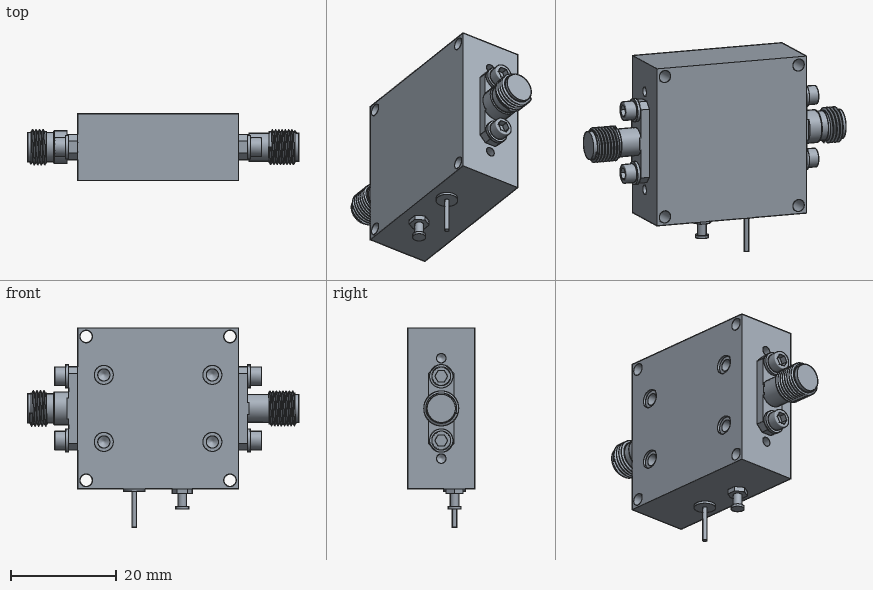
import cadquery as cq
import math

TOTAL_LENGTH = 51.35
TOTAL_HEIGHT = 37.75

SIDE = 30.45
DEPTH = 12.7
HALF_SIDE = SIDE / 2
FRONT_Y = -DEPTH / 2

CORNER_HOLE_DIA = 2.3
CORNER_HOLE_PITCH = 27.2

DRILL_TIP_ANGLE = 118
MOUNT_HOLE_DIA = 2.3
MOUNT_HOLE_DEPTH = 6.15
MOUNT_BORE_DIA = 3.6
MOUNT_BORE_DEPTH = 0.5
MOUNT_PITCH_X = 20.55
MOUNT_PITCH_Z = 12.7

SIDE_HOLE_DIA = 1.8
SIDE_HOLE_DEPTH = 4.1
SIDE_HOLE_PITCH = 19.0

FLANGE_THICK = 1.7
FLANGE_WIDTH = 4.8
FLANGE_HEIGHT = 15.75
FLANGE_CORNER = 1.3
FLANGE_FACE = HALF_SIDE + FLANGE_THICK
BARREL_FLAT_LENGTH = 0.3

SCREW_PITCH = 12.15
WASHER_DIA = 4.4
WASHER_THICK = 0.55
HEAD_DIA = 3.6
HEAD_LENGTH = 2.1
HEAD_ROUND = 0.15
SOCKET_FLATS = 2.1
SOCKET_DEPTH = 1.3

LEFT_REACH = 24.7
LEFT_CORE_DIA = 5.6
LEFT_COLLAR_DIA = 6.25
LEFT_COLLAR_LENGTH = 2.9
LEFT_COLLAR_CHAMFER = 0.2
LEFT_THREAD_DIA = 6.8
LEFT_THREAD_PITCH = 0.65
LEFT_THREAD_TURNS = 4.2
LEFT_THREAD_START = 21.25

RIGHT_REACH = TOTAL_LENGTH - LEFT_REACH
RIGHT_CORE_DIA = 5.35
RIGHT_THREAD_DIA = 6.6
RIGHT_THREAD_PITCH = 0.6
RIGHT_THREAD_TURNS = 7.7
RIGHT_THREAD_START = 21.15

THREAD_ROOT_DIA = 5.85
RIDGE_BASE_RATIO = 0.95
RIDGE_ROOT_OVERLAP = 0.1
SLEEVE_LEAD_RATIO = 0.25

PIN_X = -4.5
POST_X = 4.55
TERMINAL_Y = 2.5
PIN_DIA = 0.85
PIN_LENGTH = TOTAL_HEIGHT - SIDE
PIN_FLANGE_DIA = 4.1
PIN_FLANGE_THICK = 0.45
NUT_FLATS = 3.3
NUT_THICK = 0.9
POST_DIA = 1.7
POST_LENGTH = 3.85
POST_CAP_DIA = 2.45
POST_CAP_THICK = 0.5


def rod_x(diameter, start, end, z=0):
    """Round bar along X between two X positions."""
    return cq.Workplane("YZ", origin=(start, 0, z)).circle(diameter / 2).extrude(end - start)


def drilled_hole(diameter, depth):
    """Drill shape running along +Z from the origin, with a conical tip."""
    radius = diameter / 2
    tip = radius / math.tan(math.radians(DRILL_TIP_ANGLE / 2))
    outline = [(0, 0), (radius, 0), (radius, depth), (0, depth + tip)]
    return cq.Workplane("XZ").polyline(outline).close().revolve(360, (0, 0, 0), (0, 1, 0))


def facing(shape, x_side):
    """Turn a shape half a turn about Y when x_side is negative."""
    return shape if x_side > 0 else shape.rotate((0, 0, 0), (0, 1, 0), 180)


def housing():
    """Block with its corner, mounting and side holes."""
    block = cq.Workplane("XY").box(SIDE, DEPTH, SIDE)
    corners = cq.Workplane("XZ").rect(CORNER_HOLE_PITCH, CORNER_HOLE_PITCH, forConstruction=True).vertices()
    block = block.cut(corners.circle(CORNER_HOLE_DIA / 2).extrude(DEPTH, both=True))

    bore = cq.Workplane("XY").circle(MOUNT_BORE_DIA / 2).extrude(MOUNT_BORE_DEPTH)
    mount_hole = drilled_hole(MOUNT_HOLE_DIA, MOUNT_HOLE_DEPTH).union(bore)
    mount_hole = mount_hole.rotate((0, 0, 0), (1, 0, 0), -90)
    side_hole = drilled_hole(SIDE_HOLE_DIA, SIDE_HOLE_DEPTH).rotate((0, 0, 0), (0, 1, 0), 90)
    for x_side in (-1, 1):
        for z_side in (-1, 1):
            place = (x_side * MOUNT_PITCH_X / 2, FRONT_Y, z_side * MOUNT_PITCH_Z / 2)
            block = block.cut(mount_hole.translate(place))
            placed_side_hole = side_hole.translate((-HALF_SIDE, 0, z_side * SIDE_HOLE_PITCH / 2))
            block = block.cut(facing(placed_side_hole, -x_side))
    return block


def flange_screw(z):
    """Washer and socket cap screw head on the +X flange face."""
    washer_face = FLANGE_FACE + WASHER_THICK
    head_face = washer_face + HEAD_LENGTH
    washer = rod_x(WASHER_DIA, FLANGE_FACE, washer_face, z)
    head = rod_x(HEAD_DIA, washer_face, head_face, z).edges("%CIRCLE").fillet(HEAD_ROUND)
    socket_corners = SOCKET_FLATS / math.cos(math.pi / 6)
    socket = (
        cq.Workplane("YZ", origin=(head_face - SOCKET_DEPTH, 0, z))
        .polygon(6, socket_corners)
        .extrude(SOCKET_DEPTH)
    )
    return washer.union(head.cut(socket))


def flange_with_screws():
    """Flange on the +X face with cut corners and its two cap screws."""
    flange = (
        cq.Workplane("YZ", origin=(HALF_SIDE, 0, 0))
        .rect(FLANGE_WIDTH, FLANGE_HEIGHT)
        .extrude(FLANGE_THICK)
        .edges("|X")
        .chamfer(FLANGE_CORNER)
    )
    for z_side in (-1, 1):
        flange = flange.union(flange_screw(z_side * SCREW_PITCH / 2))
    return flange


def flat_sided_barrel(diameter, end):
    """Barrel from the flange face, trimmed to the flange width where it starts."""
    flats_end = FLANGE_FACE + BARREL_FLAT_LENGTH
    flats = cq.Workplane("YZ", origin=(FLANGE_FACE, 0, 0)).rect(FLANGE_WIDTH, FLANGE_HEIGHT)
    neck = rod_x(diameter, FLANGE_FACE, flats_end).intersect(flats.extrude(BARREL_FLAT_LENGTH))
    return neck.union(rod_x(diameter, flats_end, end))


def thread(thread_dia, pitch, turns, start):
    """Right-hand helical ridge along +X, starting at the top of a plain sleeve."""
    root = THREAD_ROOT_DIA / 2 - RIDGE_ROOT_OVERLAP
    crest = thread_dia / 2
    half_base = RIDGE_BASE_RATIO * pitch / 2
    height = pitch * turns
    profile = [(root, -half_base), (crest, 0), (root, half_base)]

    edges = [
        cq.Wire.makeHelix(pitch, height, radius).translate(cq.Vector(0, 0, offset))
        for radius, offset in profile
    ]
    faces = [cq.Face.makeRuledSurface(edges[i - 1], edges[i]) for i in range(len(edges))]
    for position in (0, 1):
        corners = [edge.positionAt(position) for edge in edges]
        faces.append(cq.Face.makeFromWires(cq.Wire.makePolygon(corners, close=True)))
    ridge = cq.Workplane(cq.Solid.makeSolid(cq.Shell.makeShell(faces)))
    ridge = ridge.rotate((0, 0, 0), (0, 0, 1), 180).rotate((0, 0, 0), (0, 1, 0), 90)
    ridge = ridge.translate((start, 0, 0))

    sleeve = rod_x(THREAD_ROOT_DIA, start - SLEEVE_LEAD_RATIO * pitch, start + height)
    return sleeve.union(ridge)


def left_connector():
    """Connector for the -X side with a collar, modelled facing +X."""
    collar_end = FLANGE_FACE + LEFT_COLLAR_LENGTH
    collar = flat_sided_barrel(LEFT_COLLAR_DIA, collar_end).faces(">X").chamfer(LEFT_COLLAR_CHAMFER)
    barrel = collar.union(rod_x(LEFT_CORE_DIA, collar_end, LEFT_REACH))
    threaded_sleeve = thread(LEFT_THREAD_DIA, LEFT_THREAD_PITCH, LEFT_THREAD_TURNS, LEFT_THREAD_START)
    return flange_with_screws().union(barrel).union(threaded_sleeve)


def right_connector():
    """Connector for the +X side with a straight barrel."""
    barrel = flat_sided_barrel(RIGHT_CORE_DIA, RIGHT_REACH)
    threaded_sleeve = thread(RIGHT_THREAD_DIA, RIGHT_THREAD_PITCH, RIGHT_THREAD_TURNS, RIGHT_THREAD_START)
    return flange_with_screws().union(barrel).union(threaded_sleeve)


def bottom_plane(x, drop=0):
    """Workplane on a terminal axis, a given drop below the bottom face."""
    return cq.Workplane("XY", origin=(x, TERMINAL_Y, -HALF_SIDE - drop))


def pin_terminal():
    """Straight pin on a thin round flange."""
    flange = bottom_plane(PIN_X).circle(PIN_FLANGE_DIA / 2).extrude(-PIN_FLANGE_THICK)
    pin = bottom_plane(PIN_X).circle(PIN_DIA / 2).extrude(-PIN_LENGTH)
    return flange.union(pin)


def post_terminal():
    """Post with a hexagonal nut at its base and a round cap."""
    nut_corners = NUT_FLATS / math.cos(math.pi / 6)
    nut = bottom_plane(POST_X).polygon(6, nut_corners).extrude(-NUT_THICK)
    post = bottom_plane(POST_X).circle(POST_DIA / 2).extrude(-POST_LENGTH)
    cap_drop = POST_LENGTH - POST_CAP_THICK
    cap = bottom_plane(POST_X, cap_drop).circle(POST_CAP_DIA / 2).extrude(-POST_CAP_THICK)
    return nut.union(post).union(cap)


result = (
    housing()
    .union(facing(left_connector(), -1))
    .union(right_connector())
    .union(pin_terminal())
    .union(post_terminal())
)